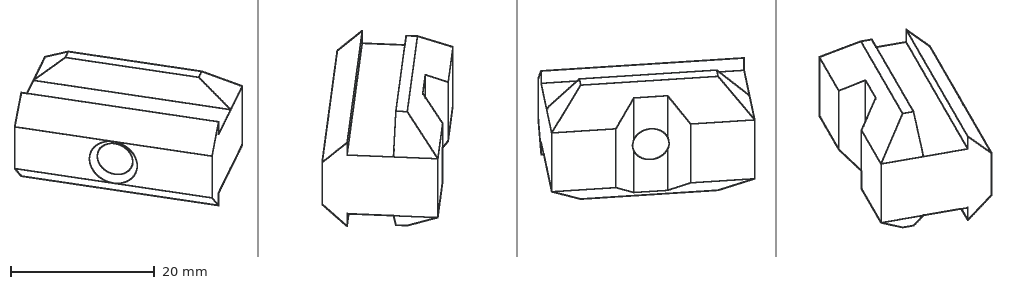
import cadquery as cq

length = 28.5
depth = 16.2
core_height = 9.8

rail_depth = 3.5
rail_height = 13.96
rail_face_height = 6.95

wing_height = 19.0
wing_front = 9.98
wing_slope_run = 4.62
wing_crest_back = depth - wing_slope_run
wing_crest_length = length - 2 * wing_slope_run

notch_depth = 3.0
notch_mouth = 10.5
notch_floor = 4.73

hole_diameter = 5.1
sink_diameter = 6.9
sink_depth = (sink_diameter - hole_diameter) / 2


def make_profile_body():
    """Extrude the side profile, symmetric about Z = 0, along the full length."""
    upper = [
        (0, rail_face_height / 2),
        (rail_depth, rail_height / 2),
        (rail_depth, core_height / 2),
        (wing_front, core_height / 2),
        (wing_front, wing_height / 2),
        (wing_crest_back, wing_height / 2),
        (depth, core_height / 2),
    ]
    lower = [(y, -z) for y, z in reversed(upper)]
    return cq.Workplane("YZ").polyline(upper + lower).close().extrude(length / 2, both=True)


def make_end_envelope():
    """Octagonal prism along Y whose sloping sides bevel the wing ends."""
    right = [
        (wing_crest_length / 2, wing_height / 2),
        (length / 2, core_height / 2),
        (length / 2, -core_height / 2),
        (wing_crest_length / 2, -wing_height / 2),
    ]
    left = [(-x, z) for x, z in reversed(right)]
    envelope = cq.Workplane("XZ").polyline(right + left).close().extrude(-depth)
    rail_zone = cq.Workplane("XY").box(length, rail_depth, wing_height, centered=(True, False, True))
    return envelope.union(rail_zone)


def make_notch():
    """Trapezoidal prism running through the whole height at the back."""
    outline = [
        (-notch_mouth / 2, depth),
        (-notch_floor / 2, depth - notch_depth),
        (notch_floor / 2, depth - notch_depth),
        (notch_mouth / 2, depth),
    ]
    return cq.Workplane("XY").polyline(outline).close().extrude(wing_height / 2, both=True)


def make_hole():
    """Through hole with a 45 degree countersink at the front face."""
    section = [
        (0, 0),
        (sink_diameter / 2, 0),
        (hole_diameter / 2, sink_depth),
        (hole_diameter / 2, depth),
        (0, depth),
    ]
    return cq.Workplane("XY").polyline(section).close().revolve(360, (0, 0), (0, 1))


result = make_profile_body().intersect(make_end_envelope()).cut(make_notch()).cut(make_hole())